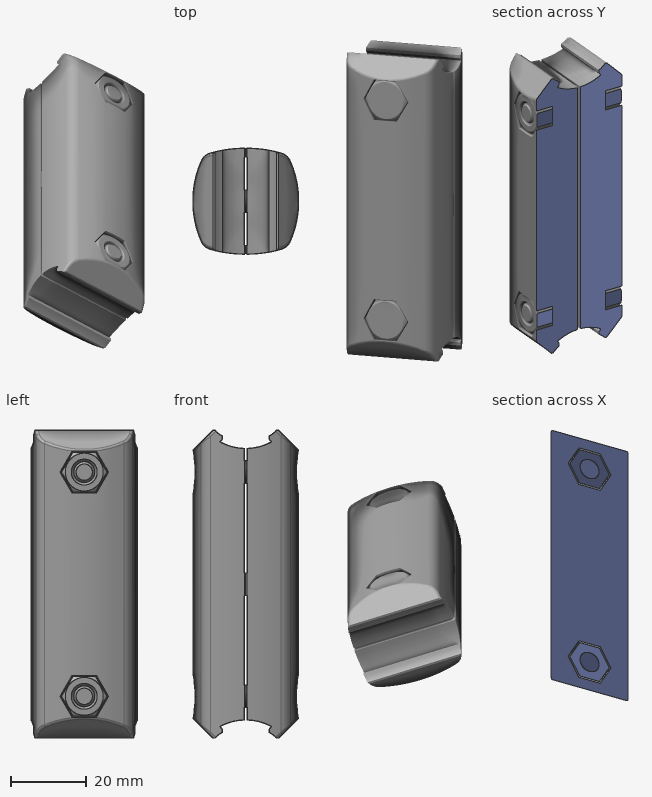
import cadquery as cq
import math

length = 81.3
half_width = 14.0
half_depth = 14.03
half_gap = 0.375

outer_face_radius = 26.4
side_face_radius = 34.15
corner_radius = 3.9

bevel_corner_z = 35.4
rim_radius = 0.9

groove_radius = 14.0
groove_bottom_z = 35.9
lip_radius = 12.4
groove_edge_x = 6.75
lip_x = 6.2
lip_undercut_z = 38.3
tip_x = 8.1

tab_height = 6.0
tab_depth = 2.2
tab_inset = 0.2

bolt_z = 29.6
shank_diameter = 6.0
thread_diameter = 5.5
bolt_tip_diameter = 4.3
bolt_tip_x = 13.4
hex_width = 10.4
hex_bevel_diameter = 10.0
hex_height = 5.0
hex_face_x = 13.3
hex_bevel_angle = 30.0
nut_countersink_diameter = 6.8
countersink_angle = 45.0
pocket_width = 11.1

half_length = length / 2
bevel_top_z = bevel_corner_z + half_width
groove_center_z = groove_bottom_z + groove_radius
pocket_floor_x = hex_face_x - hex_height
bolt_places = (bolt_z, -bolt_z)
hex_bevel_slope = math.tan(math.radians(hex_bevel_angle))
countersink_slope = math.tan(math.radians(countersink_angle))
hex_corner_ratio = 1 / math.cos(math.radians(30))


def x_cylinder(diameter, x_start, x_end, z):
    """Round bar along X."""
    plane = cq.Workplane("YZ", origin=(x_start, 0, z))
    return plane.circle(diameter / 2).extrude(x_end - x_start)


def x_hexagon(width, x_start, x_end, z):
    """Hexagonal bar along X with flats facing up and down."""
    plane = cq.Workplane("YZ", origin=(x_start, 0, z))
    return plane.polygon(6, width * hex_corner_ratio).extrude(x_end - x_start)


def x_cone(start_diameter, end_diameter, x_start, x_end, z):
    """Truncated cone along X."""
    cone = cq.Solid.makeCone(
        start_diameter / 2,
        end_diameter / 2,
        x_end - x_start,
        pnt=cq.Vector(x_start, 0, z),
        dir=cq.Vector(1, 0, 0),
    )
    return cq.Workplane(obj=cone)


def jaw_bar():
    """Bar of the right-hand jaw's cross-section, with rounded long corners and room for the bevels."""
    outer_face = cq.Workplane("XY").center(half_width - outer_face_radius, 0).circle(outer_face_radius)
    bar = outer_face.extrude(bevel_top_z, both=True)
    for side in (1, -1):
        side_face = cq.Workplane("XY").center(0, side * (half_depth - side_face_radius))
        bar = bar.intersect(side_face.circle(side_face_radius).extrude(bevel_top_z, both=True))
    other_side = cq.Workplane("XY").center(half_gap - length / 2, 0).rect(length, length)
    bar = bar.cut(other_side.extrude(bevel_top_z, both=True))
    return bar.edges("|Z").edges(">X").fillet(corner_radius)


def bevel_ends(bar):
    """Cut both ends at 45 degrees and round the rim of each bevel."""
    envelope = (
        cq.Workplane("XZ")
        .moveTo(0, -bevel_top_z)
        .lineTo(half_width, -bevel_corner_z)
        .lineTo(half_width, bevel_corner_z)
        .lineTo(0, bevel_top_z)
        .close()
        .extrude(half_depth, both=True)
    )
    bar = bar.intersect(envelope)
    for bevel_direction in (cq.Vector(1, 0, 1), cq.Vector(1, 0, -1)):
        bevel = bar.faces(cq.selectors.DirectionMinMaxSelector(bevel_direction))
        rim = [edge for edge in bevel.edges().vals() if edge.Center().x > half_gap + rim_radius / 2]
        bar = bar.newObject(rim).fillet(rim_radius)
    return bar


def groove_cutter():
    """Cutter for the top end: pipe groove, undercut of its snap lip, and flat tip."""

    def arc_point(radius, x):
        return (x, groove_center_z - math.sqrt(radius**2 - x**2))

    return (
        cq.Workplane("XZ")
        .moveTo(0, groove_bottom_z)
        .threePointArc(
            arc_point(groove_radius, groove_edge_x / 2),
            arc_point(groove_radius, groove_edge_x),
        )
        .lineTo(lip_x, lip_undercut_z)
        .lineTo(*arc_point(lip_radius, lip_x))
        .threePointArc(
            arc_point(lip_radius, (lip_x + tip_x) / 2),
            (tip_x, half_length),
        )
        .lineTo(half_width, half_length)
        .lineTo(half_width, bevel_top_z)
        .lineTo(0, bevel_top_z)
        .close()
        .extrude(half_depth, both=True)
    )


def spacer_tabs():
    """Two tabs that reach from the jaw's inner face to the middle of the gap."""
    outer_y = half_depth - tab_inset
    return (
        cq.Workplane("XY")
        .pushPoints([(half_gap / 2, side * (outer_y - tab_depth / 2)) for side in (1, -1)])
        .box(half_gap, tab_depth, tab_height)
    )


def make_jaw():
    """Right-hand jaw, with bolt holes and hexagonal pockets open to its outer face."""
    jaw = bevel_ends(jaw_bar()).union(spacer_tabs())
    top_groove = groove_cutter()
    jaw = jaw.cut(top_groove).cut(top_groove.mirror("XY"))
    for z in bolt_places:
        jaw = jaw.cut(x_cylinder(shank_diameter, 0, half_width, z))
        jaw = jaw.cut(x_hexagon(pocket_width, pocket_floor_x, half_width, z))
    return jaw


def beveled_hexagon(z):
    """Hexagonal block in the right-hand pocket, with the corners of its outer face beveled."""
    base_diameter = hex_bevel_diameter + 2 * hex_height / hex_bevel_slope
    block = x_hexagon(hex_width, pocket_floor_x, hex_face_x, z)
    return block.intersect(x_cone(base_diameter, hex_bevel_diameter, pocket_floor_x, hex_face_x, z))


def make_nut(z):
    """Nut in the left-hand pocket, countersunk on its outer face."""
    countersink_depth = (nut_countersink_diameter - thread_diameter) / 2 * countersink_slope
    nut = beveled_hexagon(z).cut(x_cylinder(thread_diameter, pocket_floor_x, hex_face_x, z))
    nut = nut.cut(
        x_cone(thread_diameter, nut_countersink_diameter, hex_face_x - countersink_depth, hex_face_x, z)
    )
    return nut.mirror("YZ")


def make_bolt(z):
    """Bolt with its head in the right-hand pocket and its threaded end in the nut."""
    tip_length = (thread_diameter - bolt_tip_diameter) / 2 * countersink_slope
    thread_end_x = bolt_tip_x - tip_length
    shank = x_cylinder(shank_diameter, -pocket_floor_x, pocket_floor_x, z)
    thread = x_cylinder(thread_diameter, -thread_end_x, -pocket_floor_x, z)
    tip = x_cone(bolt_tip_diameter, thread_diameter, -bolt_tip_x, -thread_end_x, z)
    return beveled_hexagon(z).union(shank).union(thread).union(tip)


right_jaw = make_jaw()
left_jaw = right_jaw.mirror("YZ")
nuts = [make_nut(z) for z in bolt_places]
bolts = [make_bolt(z) for z in bolt_places]

bodies = [right_jaw, left_jaw, *nuts, *bolts]
result = cq.Compound.makeCompound([body.val() for body in bodies])